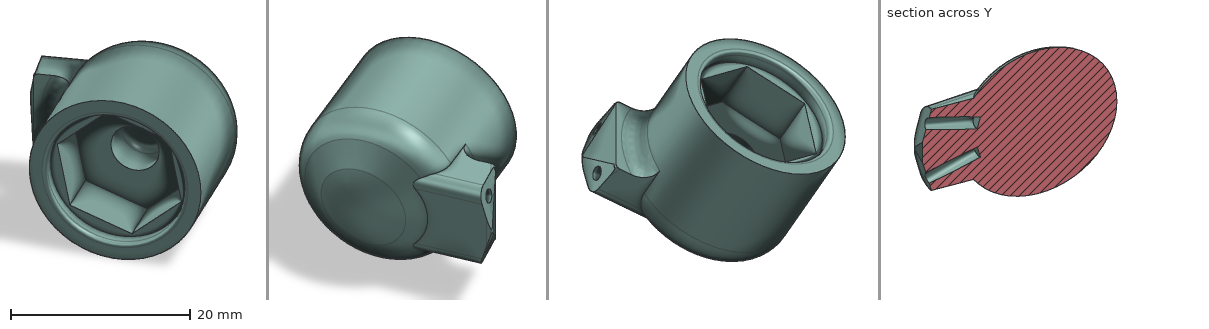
import cadquery as cq
import math

body_radius = 10.0
body_length = 20.0
dome_radius = 10.0
shoulder_radius = 4.0
shoulder_start = 13.35

bore_diameter = 16.0
bore_depth = 1.7
mouth_round = 0.5
hex_corner_diameter = 15.3
hex_depth = 6.0
hex_turn = 41.0
pilot_diameter = 5.6
pilot_depth = 5.0
pilot_floor_round = 1.0

lug_width = 11.0
lug_thickness = 5.3
lug_tilt = 6.0
lug_corner = (-12.91, 11.31)
lug_root_x = -3.0
end_lean = 21.2
rear_round = 1.5
end_round = 0.5
root_fillet = 2.0

facet_angle = 15.0
facet_step_corner = (-12.83, 11.65)
hole_diameter = 1.6
hole_depth = 6.5
hole_y = 14.57
hole_z = 3.67

cutter_size = 30.0


def axis_plane(y):
    """Plane square to the housing axis at the given y, with its normal along +Y."""
    return cq.Plane(origin=(0, y, 0), xDir=(1, 0, 0), normal=(0, 1, 0))


def make_body():
    """Turn the wall, rounded shoulder, tangent cone and spherical crown."""
    dome_y = body_length - dome_radius
    shoulder_r = body_radius - shoulder_radius
    center_gap = math.hypot(shoulder_r, shoulder_start - dome_y)
    center_angle = math.atan2(shoulder_start - dome_y, shoulder_r)
    normal_angle = math.asin((dome_radius - shoulder_radius) / center_gap) - center_angle

    def arc_point(center_r, center_y, radius, angle):
        return (center_r + radius * math.sin(angle), center_y + radius * math.cos(angle))

    shoulder_mid_angle = (normal_angle + math.pi / 2) / 2
    profile = (
        cq.Workplane("XY")
        .lineTo(body_radius, 0)
        .lineTo(body_radius, shoulder_start)
        .threePointArc(
            arc_point(shoulder_r, shoulder_start, shoulder_radius, shoulder_mid_angle),
            arc_point(shoulder_r, shoulder_start, shoulder_radius, normal_angle),
        )
        .lineTo(*arc_point(0, dome_y, dome_radius, normal_angle))
        .threePointArc(
            arc_point(0, dome_y, dome_radius, normal_angle / 2),
            (0, body_length),
        )
        .close()
    )
    return profile.revolve(360, (0, 0, 0), (0, 1, 0))


def make_lug():
    """Tilted block with rounded rear corners and a rounded, leaning end face."""
    tilt_slope = math.tan(math.radians(lug_tilt))
    lean_slope = math.tan(math.radians(end_lean))
    corner_x, corner_y = lug_corner
    face_gap = lug_thickness / math.cos(math.radians(lug_tilt))
    end_rise = face_gap / (1 + lean_slope * tilt_slope)
    root_y = corner_y + (lug_root_x - corner_x) * tilt_slope
    block = (
        cq.Workplane("XY")
        .workplane(offset=-lug_width / 2)
        .moveTo(corner_x, corner_y)
        .lineTo(lug_root_x, root_y)
        .lineTo(lug_root_x, root_y + face_gap)
        .lineTo(corner_x - end_rise * lean_slope, corner_y + end_rise)
        .close()
        .extrude(lug_width)
    )
    rear_edges = cq.selectors.BoxSelector(
        (corner_x, corner_y + lug_thickness / 2, -lug_width),
        (lug_root_x - rear_round, body_length, lug_width),
    )
    block = block.edges("not |Z").edges(rear_edges).fillet(rear_round)
    end_rim_edges = cq.selectors.BoxSelector(
        (-body_length, corner_y + end_round, -lug_width),
        (corner_x - end_round, body_length, lug_width),
    )
    return block.edges(end_rim_edges).fillet(end_round)


def end_facet_plane(side):
    """Plane of one end facet, with local x across the lug thickness and the normal pointing outward.

    The origin is the outer corner of the facet step; side is +1 or -1 along Z.
    """
    tilt = math.radians(lug_tilt)
    spread = math.radians(facet_angle)
    normal = cq.Vector(
        -math.cos(tilt) * math.cos(spread),
        -math.sin(tilt) * math.cos(spread),
        side * math.sin(spread),
    )
    along_thickness = cq.Vector(-math.sin(tilt), math.cos(tilt), 0)
    origin = (*facet_step_corner, side * lug_width / 2)
    return cq.Plane(origin=origin, xDir=along_thickness, normal=normal)


def trim_end_facet(part, side):
    """Cut away the lug material lying outside one end facet."""
    cutter = (
        cq.Workplane(end_facet_plane(side))
        .box(cutter_size, cutter_size, cutter_size, centered=(False, True, False))
    )
    return part.cut(cutter)


def drill_facet_hole(part, side):
    """Drill one blind hole into the lug, square to its end facet."""
    plane = end_facet_plane(side)
    offset_y = (hole_y - plane.origin.y) * plane.zDir.y
    offset_z = (side * hole_z - plane.origin.z) * plane.zDir.z
    hole_x = plane.origin.x - (offset_y + offset_z) / plane.zDir.x
    center = cq.Vector(hole_x, hole_y, side * hole_z)
    hole = cq.Solid.makeCylinder(hole_diameter / 2, hole_depth, center, plane.zDir * -1)
    return part.cut(cq.Workplane(hole))


def fillet_lug_root(part):
    """Blend the lug's open-end face into the round wall."""
    root_y = lug_corner[1] + (-body_radius - lug_corner[0]) * math.tan(math.radians(lug_tilt))
    root_edge = cq.selectors.NearestToPointSelector((-body_radius, root_y, 0))
    return part.edges(root_edge).fillet(root_fillet)


def cut_cavity(part):
    """Cut the round-lipped bore, the hexagonal pocket and the pilot hole in line."""
    hex_floor = bore_depth + hex_depth
    bore = cq.Workplane(axis_plane(0)).circle(bore_diameter / 2).extrude(bore_depth)
    hexagon = (
        cq.Workplane(axis_plane(bore_depth))
        .transformed(rotate=(0, 0, -hex_turn))
        .polygon(6, hex_corner_diameter)
        .extrude(hex_depth)
    )
    pilot = (
        cq.Workplane(axis_plane(hex_floor))
        .circle(pilot_diameter / 2)
        .extrude(pilot_depth)
        .faces(">Y")
        .edges()
        .fillet(pilot_floor_round)
    )
    part = part.cut(bore).cut(hexagon).cut(pilot)
    smallest_circle = cq.selectors.RadiusNthSelector(0)
    return part.faces("<Y").edges(smallest_circle).fillet(mouth_round)


lug = make_lug()
for side in (1, -1):
    lug = trim_end_facet(lug, side)

result = fillet_lug_root(make_body().union(lug))
result = cut_cavity(result)
for side in (1, -1):
    result = drill_facet_hole(result, side)